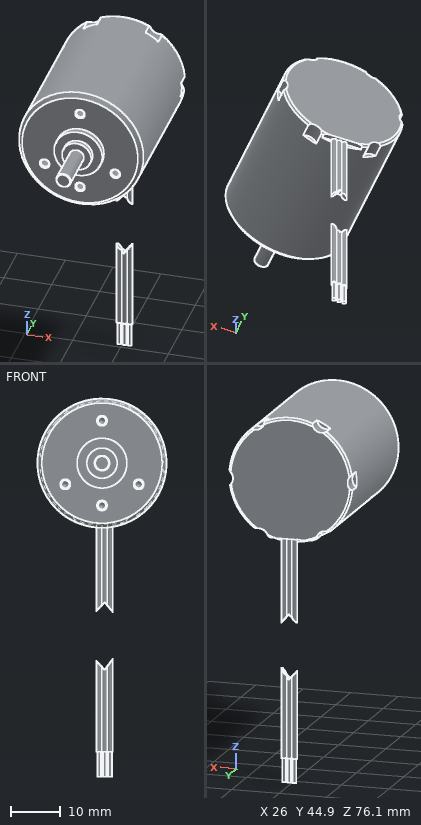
import cadquery as cq
import math


overall_height = 76.1

housing_diameter = 26.0
housing_radius = housing_diameter / 2
housing_length = 32.4
front_chamfer = 0.9
rear_chamfer = 0.45
pilot_diameter = 10.05
pilot_height = 1.4
collar_diameter = 6.1
collar_height = 1.15
nose_height = pilot_height + collar_height

shaft_diameter = 3.05
shaft_exposed_length = 9.9
shaft_chamfer = 0.15

screw_circle_radius = 8.5
screw_angles = (90, 210, 270, 330)
screw_diameter = 1.6
screw_depth = 3.8
screw_chamfer = 0.2
drill_point_angle = 118

notch_count = 6
notch_width = 3.2
notch_radius = 2.0
notch_length = 3.2
notch_start_angle = 58
notch_half_width = notch_width / 2
notch_center_radius = math.sqrt(housing_radius**2 - notch_half_width**2) + math.sqrt(
    notch_radius**2 - notch_half_width**2
)

wire_count = 3
insulation_diameter = 1.15
wire_overlap = 0.04
wire_pitch = insulation_diameter - wire_overlap
conductor_diameter = 0.75
wire_center_x = 0.5
wire_from_rear = 1.15
wire_y = housing_length - wire_from_rear
wire_bottom_z = housing_radius - overall_height
conductor_length = 5.0
insulation_bottom_z = wire_bottom_z + conductor_length
ribbon_half_width = ((wire_count - 1) * wire_pitch + insulation_diameter) / 2
ribbon_left_x = wire_center_x - ribbon_half_width
ribbon_right_x = wire_center_x + ribbon_half_width

upper_left_end_z = -29.75
upper_right_end_z = -30.0
upper_peak_z = -28.0
lower_left_end_z = -39.8
lower_right_end_z = -39.35
lower_valley_z = -41.55

exit_width = 8.4
exit_floor_z = -12.2


def along_y(diameter, start_y, length):
    """Cylinder on the motor axis that runs from start_y toward +Y."""
    return cq.Workplane("XZ", origin=(0, start_y, 0)).circle(diameter / 2).extrude(-length)


def make_screw_hole_cutter():
    """Chamfered blind hole with a drill-point bottom, opening at y = 0 on the Y axis."""
    radius = screw_diameter / 2
    tip_depth = screw_depth + radius / math.tan(math.radians(drill_point_angle / 2))
    return (
        cq.Workplane("XY")
        .moveTo(0, 0)
        .lineTo(radius + screw_chamfer, 0)
        .lineTo(radius, screw_chamfer)
        .lineTo(radius, screw_depth)
        .lineTo(0, tip_depth)
        .close()
        .revolve(360, (0, 0, 0), (0, 1, 0))
    )


def make_insulation(bottom_z, top_z):
    """Row of overlapping insulated wires fused into one ribbon."""
    first_x = wire_center_x - (wire_count - 1) / 2 * wire_pitch
    ribbon = cq.Workplane("XY")
    for i in range(wire_count):
        wire = (
            cq.Workplane("XY", origin=(first_x + i * wire_pitch, wire_y, bottom_z))
            .circle(insulation_diameter / 2)
            .extrude(top_z - bottom_z)
        )
        ribbon = ribbon.union(wire)
    return ribbon


def keep_profile(ribbon, points):
    """Trim a ribbon to an XZ outline that covers its full thickness."""
    outline = (
        cq.Workplane("XZ", origin=(0, wire_y, 0))
        .polyline(points)
        .close()
        .extrude(insulation_diameter, both=True)
    )
    return ribbon.intersect(outline)


def make_upper_wires():
    """Wires that leave the housing and end at the break."""
    ribbon = make_insulation(min(upper_left_end_z, upper_right_end_z), exit_floor_z)
    return keep_profile(ribbon, [
        (ribbon_left_x, exit_floor_z),
        (ribbon_left_x, upper_left_end_z),
        (wire_center_x, upper_peak_z),
        (ribbon_right_x, upper_right_end_z),
        (ribbon_right_x, exit_floor_z),
    ])


def make_lower_wires():
    """Wires below the break, with the bare conductors at their bottom end."""
    ribbon = make_insulation(insulation_bottom_z, max(lower_left_end_z, lower_right_end_z))
    ribbon = keep_profile(ribbon, [
        (ribbon_left_x, insulation_bottom_z),
        (ribbon_left_x, lower_left_end_z),
        (wire_center_x, lower_valley_z),
        (ribbon_right_x, lower_right_end_z),
        (ribbon_right_x, insulation_bottom_z),
    ])
    conductors = (
        cq.Workplane("XY", origin=(wire_center_x, wire_y, wire_bottom_z))
        .rarray(wire_pitch, 0.75, wire_count, 1)
        .circle(conductor_diameter / 2)
        .extrude(conductor_length)
    )
    return ribbon.union(conductors)


def make_shaft():
    """Output shaft seated in the nose of the housing."""
    shaft_length = nose_height + shaft_exposed_length
    shaft = along_y(shaft_diameter, -shaft_length, shaft_length)
    return shaft.faces("<Y").chamfer(shaft_chamfer)


def make_housing(shaft, upper_wires):
    """Motor can with its stepped nose, screw holes, rear notches and wire exit."""
    body = along_y(housing_diameter, 0, housing_length)
    body = body.faces("<Y").chamfer(front_chamfer)
    body = body.faces(">Y").chamfer(rear_chamfer)
    body = body.union(along_y(pilot_diameter, -pilot_height, pilot_height))
    body = body.union(along_y(collar_diameter, -nose_height, collar_height))

    for angle in screw_angles:
        x = screw_circle_radius * math.cos(math.radians(angle))
        z = screw_circle_radius * math.sin(math.radians(angle))
        body = body.cut(make_screw_hole_cutter().translate((x, 0, z)))

    notches = (
        cq.Workplane("XZ", origin=(0, housing_length, 0))
        .polarArray(notch_center_radius, notch_start_angle, 360, notch_count)
        .circle(notch_radius)
        .extrude(notch_length)
    )
    body = body.cut(notches)

    exit_slot = cq.Workplane("XY").box(
        exit_width, wire_from_rear, housing_radius + exit_floor_z, centered=(True, False, False)
    )
    body = body.cut(exit_slot.translate((0, wire_y, -housing_radius)))

    return body.cut(shaft).cut(upper_wires)


shaft = make_shaft()
upper_wires = make_upper_wires()
lower_wires = make_lower_wires()
housing = make_housing(shaft, upper_wires)

result = cq.Compound.makeCompound([
    housing.solids().val(),
    shaft.solids().val(),
    upper_wires.solids().val(),
    lower_wires.solids().val(),
])